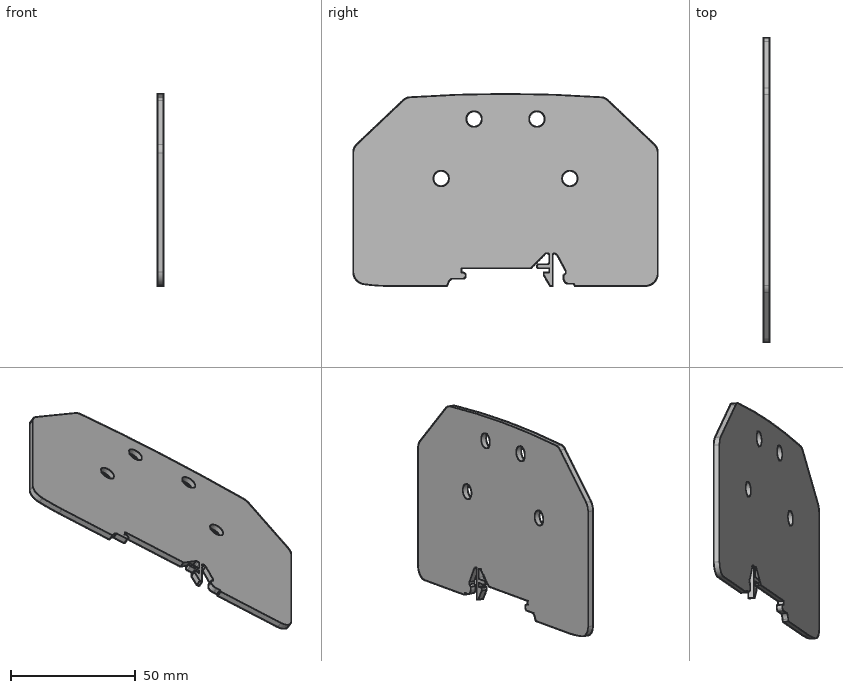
import cadquery as cq

thickness = 2.5
length = 122.0
height = 77.0
half_length = length / 2

shoulder_z = 55.4
crown_half_width = 39.8
crown_end_z = 75.5
shoulder_radius = 4.9
crown_end_radius = 4.3

foot_radius = 5.1
flat_end_y = -47.3
rise_middle = (-52.5, 0.2)
rise_end = (-61.0, 1.5)

hole_diameter = 6.1
upper_hole_y = 12.6
upper_hole_z = 66.9
lower_hole_y = 25.7
lower_hole_z = 43.1

rail_z = 7.1
slot_top_z = 13.0
hook_top_z = 5.5
slot_mouth_y = 27.7
rail_start_y = 10.1
rail_end_y = -17.6
recess_end_y = -23.4

lip_step = (27.3, 0.9)
lip_start_y = 25.6
lip_arc_middle = (23.9, 1.5)
lip_face_y = 23.2
lip_arc_end_z = 2.9
lip_top_z = 4.3
notch_y = 24.0
notch_bottom_z = 5.1
notch_top_z = 6.1

slot_wall_top = (20.6, 12.5)
slot_roof_outer_y = 19.8
slot_roof_inner_y = 16.1

hook_root_y = -17.1
hook_tip = (-15.9, 4.4)
hook_bottom_z = 2.9
hook_arc_end_y = -16.8
ramp_start_y = -21.5
ramp_arc_middle = (-22.5, 2.1)
ramp_arc_end = (-22.9, 1.0)

arm_outer_y = 18.9
arm_inner_y = 17.5
finger_tip_y = 12.6
finger_top_z = 8.8
finger_radius = 0.7
barb_y = 15.2
barb_shoulder_z = 4.4
arm_foot_y = 17.8
arm_root_radius = 0.6


def plate():
    """Plain plate outline, extruded and rounded at its corners."""
    body = (
        cq.Workplane("YZ")
        .moveTo(half_length, 0)
        .lineTo(half_length, shoulder_z)
        .lineTo(crown_half_width, crown_end_z)
        .threePointArc((0, height), (-crown_half_width, crown_end_z))
        .lineTo(-half_length, shoulder_z)
        .lineTo(*rise_end)
        .threePointArc(rise_middle, (flat_end_y, 0))
        .close()
        .extrude(thickness)
    )
    corner_groups = [
        ([(half_length, 0), rise_end], foot_radius),
        ([(half_length, shoulder_z), (-half_length, shoulder_z)], shoulder_radius),
        ([(crown_half_width, crown_end_z), (-crown_half_width, crown_end_z)], crown_end_radius),
    ]
    for corners, radius in corner_groups:
        for y, z in corners:
            edge = cq.selectors.NearestToPointSelector((thickness / 2, y, z))
            body = body.edges(edge).fillet(radius)
    return body


def rail_recess():
    """Rail opening, including the space occupied by the latch arm."""
    return (
        cq.Workplane("YZ")
        .moveTo(slot_mouth_y, 0)
        .lineTo(*lip_step)
        .lineTo(lip_start_y, lip_step[1])
        .threePointArc(lip_arc_middle, (lip_face_y, lip_arc_end_z))
        .lineTo(lip_face_y, lip_top_z)
        .lineTo(notch_y, notch_bottom_z)
        .lineTo(notch_y, notch_top_z)
        .lineTo(*slot_wall_top)
        .lineTo(slot_roof_outer_y, slot_top_z)
        .lineTo(slot_roof_inner_y, slot_top_z)
        .lineTo(rail_start_y, rail_z)
        .lineTo(rail_end_y, rail_z)
        .lineTo(rail_end_y, hook_top_z)
        .lineTo(hook_root_y, hook_top_z)
        .threePointArc(hook_tip, (hook_arc_end_y, hook_bottom_z))
        .lineTo(ramp_start_y, hook_bottom_z)
        .threePointArc(ramp_arc_middle, ramp_arc_end)
        .lineTo(recess_end_y, 0)
        .close()
        .extrude(thickness)
    )


def latch_arm():
    """Hanging arm with a round-ended finger and a barb below it."""
    arm = (
        cq.Workplane("YZ")
        .moveTo(arm_outer_y, 0)
        .lineTo(arm_outer_y, slot_top_z)
        .lineTo(arm_inner_y, slot_top_z)
        .lineTo(arm_inner_y, finger_top_z)
        .lineTo(finger_tip_y, finger_top_z)
        .lineTo(finger_tip_y, rail_z)
        .lineTo(arm_inner_y, rail_z)
        .lineTo(arm_inner_y, hook_top_z)
        .lineTo(barb_y, hook_top_z)
        .lineTo(barb_y, barb_shoulder_z)
        .lineTo(arm_foot_y, 0)
        .close()
        .extrude(thickness)
    )
    for z in (finger_top_z, rail_z):
        edge = cq.selectors.NearestToPointSelector((thickness / 2, finger_tip_y, z))
        arm = arm.edges(edge).fillet(finger_radius)
    return arm


def round_arm_roots(body):
    """Round the slot roof into the arm, and the arm into its finger."""
    for y, z in [
        (arm_outer_y, slot_top_z),
        (arm_inner_y, slot_top_z),
        (arm_inner_y, finger_top_z),
    ]:
        edge = cq.selectors.NearestToPointSelector((thickness / 2, y, z))
        body = body.edges(edge).fillet(arm_root_radius)
    return body


def holes():
    """Four through holes in two mirrored pairs."""
    centers = [
        (side * y, z)
        for y, z in [(upper_hole_y, upper_hole_z), (lower_hole_y, lower_hole_z)]
        for side in (-1, 1)
    ]
    return cq.Workplane("YZ").pushPoints(centers).circle(hole_diameter / 2).extrude(thickness)


body = plate().cut(rail_recess()).union(latch_arm())
result = round_arm_roots(body).cut(holes())